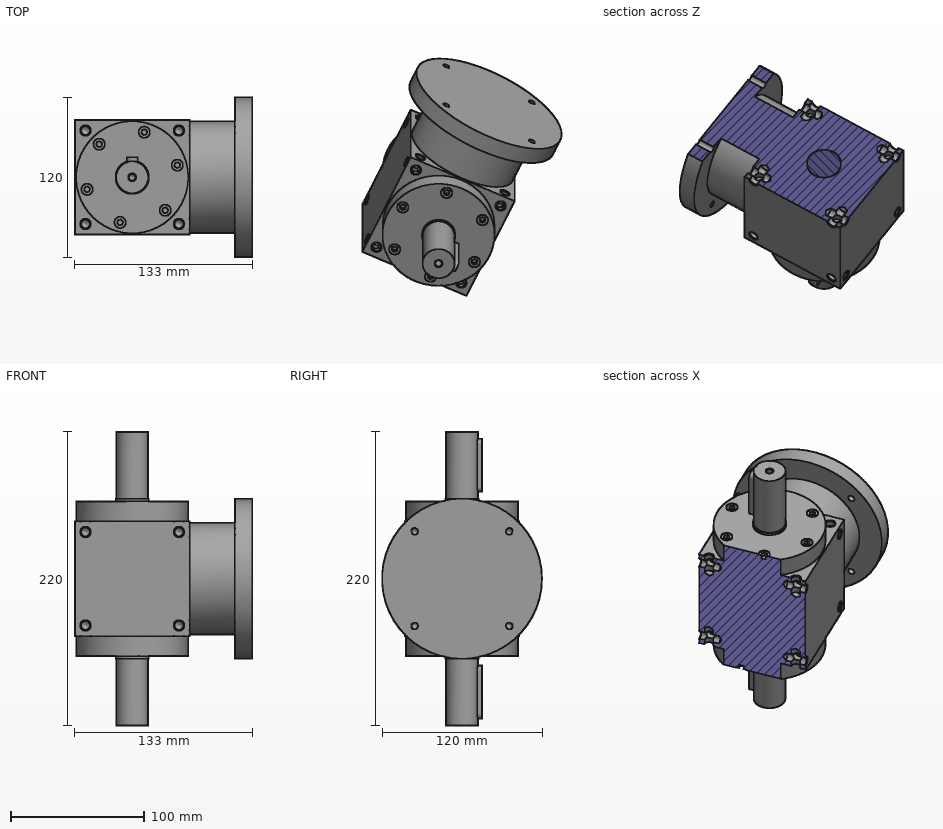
import cadquery as cq
import math

CASE_SIZE = 86.0
COVER_DIAMETER = 84.0
COVER_THICKNESS = 15.0
NECK_DIAMETER = 84.0
FLANGE_DIAMETER = 120.0
FLANGE_THICKNESS = 13.0
FLANGE_FACE_X = 90.0

CASE_HALF = CASE_SIZE / 2
COVER_FACE_Z = CASE_HALF + COVER_THICKNESS
NECK_LENGTH = FLANGE_FACE_X - CASE_HALF

DRILL_POINT_ANGLE = 118.0

MOUNT_SPACING = 70.0
MOUNT_HOLE_DIAMETER = 6.65
MOUNT_MOUTH_DIAMETER = 8.0
MOUNT_HOLE_DEPTH = 16.0

SCREW_COUNT = 6
SCREW_CIRCLE_RADIUS = 35.0
SCREW_START_ANGLE = 15.0
SCREW_RECESS_DIAMETER = 8.5
SCREW_RECESS_DEPTH = 0.5
SOCKET_ACROSS_CORNERS = 4.62
SOCKET_DEPTH = 3.0

FLANGE_HOLE_COUNT = 4
FLANGE_HOLE_DIAMETER = 4.92
FLANGE_HOLE_CIRCLE_RADIUS = 50.0
FLANGE_HOLE_START_ANGLE = 45.0

SHAFT_LENGTH = 220.0
SHAFT_DIAMETER = 24.0
JOURNAL_DIAMETER = 25.0
JOURNAL_PROJECTION = 2.0
CENTRE_HOLE_DIAMETER = 4.92
CENTRE_MOUTH_DIAMETER = 6.0
CENTRE_HOLE_DEPTH = 15.0

SHAFT_END_Z = SHAFT_LENGTH / 2
JOURNAL_LENGTH = 2 * (COVER_FACE_Z + JOURNAL_PROJECTION)

KEY_LENGTH = 40.0
KEY_WIDTH = 8.0
KEY_HEIGHT = 7.0
KEYWAY_DEPTH = 4.0
KEY_END_GAP = 5.0

KEY_SEAT_Y = SHAFT_DIAMETER / 2 - KEYWAY_DEPTH
KEY_CENTRE_Z = SHAFT_END_Z - KEY_END_GAP - KEY_LENGTH / 2


def end_plane(side, height):
    """Plane at the given height on the +Z (side 1) or -Z (side -1) end, facing outward."""
    return cq.Plane(origin=(0, 0, side * height), xDir=(1, 0, 0), normal=(0, 0, side))


def drilled_holes(plane, points, diameter, mouth_diameter, depth):
    """Cutters for blind drilled holes going inward from an outward-facing plane."""
    radius = diameter / 2
    mouth_radius = mouth_diameter / 2
    mouth_depth = mouth_radius - radius
    point_depth = radius / math.tan(math.radians(DRILL_POINT_ANGLE / 2))
    profile = [
        (0, 0),
        (mouth_radius, 0),
        (radius, -mouth_depth),
        (radius, -depth),
        (0, -depth - point_depth),
    ]
    cutter = cq.Workplane("XZ").polyline(profile).close().revolve(360, (0, 0), (0, 1)).val()
    return cq.Workplane(plane).pushPoints(points).eachpoint(
        lambda spot: cutter.moved(spot), useLocalCoordinates=True, combine=False
    )


def make_key(side):
    """Round-ended key on the upper (side 1) or lower (side -1) shaft end."""
    seat = cq.Plane(origin=(0, KEY_SEAT_Y, side * KEY_CENTRE_Z), xDir=(0, 0, 1), normal=(0, 1, 0))
    return cq.Workplane(seat).slot2D(KEY_LENGTH, KEY_WIDTH).extrude(KEY_HEIGHT)


def make_shaft():
    """Stepped through shaft with a keyway and a tapped centre hole at each end."""
    shaft = cq.Workplane("XY").circle(SHAFT_DIAMETER / 2).extrude(SHAFT_END_Z, both=True)
    journal = cq.Workplane("XY").circle(JOURNAL_DIAMETER / 2).extrude(JOURNAL_LENGTH / 2, both=True)
    shaft = shaft.union(journal)
    for side in (1, -1):
        centre_hole = drilled_holes(
            end_plane(side, SHAFT_END_Z),
            [(0, 0)],
            CENTRE_HOLE_DIAMETER,
            CENTRE_MOUTH_DIAMETER,
            CENTRE_HOLE_DEPTH,
        )
        shaft = shaft.cut(centre_hole).cut(make_key(side))
    return shaft


def housing_blank():
    """Case, covers, neck and flange without any holes."""
    blank = cq.Workplane("XY").box(CASE_SIZE, CASE_SIZE, CASE_SIZE)
    covers = cq.Workplane("XY").circle(COVER_DIAMETER / 2).extrude(COVER_FACE_Z, both=True)
    neck = cq.Workplane("YZ", origin=(CASE_HALF, 0, 0)).circle(NECK_DIAMETER / 2).extrude(NECK_LENGTH)
    flange = (
        cq.Workplane("YZ", origin=(FLANGE_FACE_X, 0, 0))
        .circle(FLANGE_DIAMETER / 2)
        .extrude(-FLANGE_THICKNESS)
    )
    return blank.union(covers).union(neck).union(flange)


def cut_mount_holes(housing):
    """Four corner holes in each of the six case faces."""
    half = MOUNT_SPACING / 2
    corners = [(across, up) for across in (-half, half) for up in (-half, half)]
    for normal in ((1, 0, 0), (-1, 0, 0), (0, -1, 0), (0, 1, 0), (0, 0, 1), (0, 0, -1)):
        origin = tuple(CASE_HALF * component for component in normal)
        face = cq.Plane(origin=origin, normal=normal)
        holes = drilled_holes(
            face, corners, MOUNT_HOLE_DIAMETER, MOUNT_MOUTH_DIAMETER, MOUNT_HOLE_DEPTH
        )
        housing = housing.cut(holes)
    return housing


def cut_cover_screws(housing):
    """Screw recesses and hexagon sockets in the outer faces of both covers."""
    for side in (1, -1):
        screws = cq.Workplane(end_plane(side, COVER_FACE_Z)).polarArray(
            SCREW_CIRCLE_RADIUS, SCREW_START_ANGLE, 360, SCREW_COUNT
        )
        recesses = screws.circle(SCREW_RECESS_DIAMETER / 2).extrude(-SCREW_RECESS_DEPTH)
        sockets = screws.polygon(6, SOCKET_ACROSS_CORNERS).extrude(-SCREW_RECESS_DEPTH - SOCKET_DEPTH)
        housing = housing.cut(recesses).cut(sockets)
    return housing


def cut_flange_holes(housing):
    """Through holes on the flange bolt circle."""
    holes = (
        cq.Workplane("YZ", origin=(FLANGE_FACE_X, 0, 0))
        .polarArray(FLANGE_HOLE_CIRCLE_RADIUS, FLANGE_HOLE_START_ANGLE, 360, FLANGE_HOLE_COUNT)
        .circle(FLANGE_HOLE_DIAMETER / 2)
        .extrude(-FLANGE_THICKNESS)
    )
    return housing.cut(holes)


def cut_shaft_bore(housing):
    """Bore along Z that the shaft journal fills."""
    bore = cq.Workplane("XY").circle(JOURNAL_DIAMETER / 2).extrude(COVER_FACE_Z, both=True)
    return housing.cut(bore)


def make_housing():
    """Complete housing with all its holes."""
    housing = cut_mount_holes(housing_blank())
    housing = cut_cover_screws(housing)
    housing = cut_flange_holes(housing)
    return cut_shaft_bore(housing)


housing = make_housing()
shaft = make_shaft()
keys = [make_key(side) for side in (1, -1)]

result = cq.Compound.makeCompound([housing.val(), shaft.val(), *[key.val() for key in keys]])